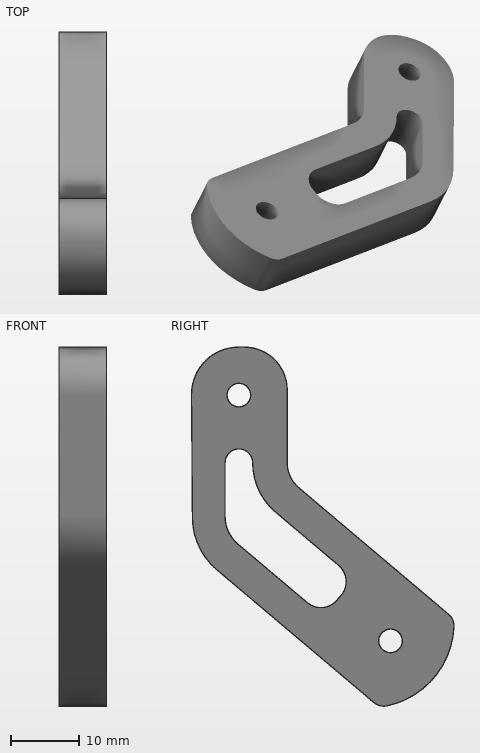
import cadquery as cq
import math

thickness = 7.0
hole_diameter = 3.45
arm_angle = math.radians(40.2)

back_side = 7.1
front_side_top = -7.0
front_side_bottom = -6.8
head_top = 7.05
head_back_radius = 6.35
head_front_radius = 6.95

pivot_y = 22.25
pivot_z = -36.1
arm_half_width = 8.5
end_radius = 12.45
end_center_inset = 4.05
end_corner_radius = 2.2
inner_bend_radius = 4.75
outer_bend_radius = 10.0

slot_top_radius = 2.0
slot_top_z = -9.9
slot_back_offset = 3.55
slot_front_offset = -3.6
slot_end_inset = 9.85
slot_end_corner_radius = 3.1
slot_back_bend_radius = 9.5
slot_front_bend_radius = 5.2


def arm_point(along, offset):
    """Point measured from the lower pivot, along the arm and square to its axis."""
    y = pivot_y + along * math.cos(arm_angle) + offset * math.sin(arm_angle)
    z = pivot_z - along * math.sin(arm_angle) + offset * math.cos(arm_angle)
    return y, z


def bend_point(y, offset):
    """Point at the given Y on a line parallel to the lower arm."""
    along = (y - pivot_y - offset * math.sin(arm_angle)) / math.cos(arm_angle)
    return arm_point(along, offset)


def round_corner(body, point, radius):
    """Round the edge through the plate at one outline corner."""
    reach = 0.05
    y, z = point
    low = (-reach, y - reach, z - reach)
    high = (thickness + reach, y + reach, z + reach)
    corner = cq.selectors.BoxSelector(low, high)
    return body.edges("|X").edges(corner).fillet(radius)


def make_plate():
    end_reach = math.sqrt(end_radius**2 - arm_half_width**2) - end_center_inset
    end_back = arm_point(end_reach, arm_half_width)
    end_front = arm_point(end_reach, -arm_half_width)
    end_tip = arm_point(end_radius - end_center_inset, 0)
    inner_bend = bend_point(back_side, arm_half_width)
    outer_bend = bend_point(front_side_bottom, -arm_half_width)
    head_back = (back_side, head_top)
    head_front = (front_side_top, head_top)
    plate = (
        cq.Workplane("YZ")
        .moveTo(*head_front)
        .lineTo(*head_back)
        .lineTo(*inner_bend)
        .lineTo(*end_back)
        .threePointArc(end_tip, end_front)
        .lineTo(*outer_bend)
        .close()
        .extrude(thickness)
    )
    corners = [
        (head_back, head_back_radius),
        (head_front, head_front_radius),
        (inner_bend, inner_bend_radius),
        (outer_bend, outer_bend_radius),
        (end_back, end_corner_radius),
        (end_front, end_corner_radius),
    ]
    for point, radius in corners:
        plate = round_corner(plate, point, radius)
    return plate


def make_slot():
    back_bend = bend_point(slot_top_radius, slot_back_offset)
    front_bend = bend_point(-slot_top_radius, slot_front_offset)
    end_back = arm_point(-slot_end_inset, slot_back_offset)
    end_front = arm_point(-slot_end_inset, slot_front_offset)
    slot = (
        cq.Workplane("YZ")
        .moveTo(-slot_top_radius, slot_top_z)
        .threePointArc((0, slot_top_z + slot_top_radius), (slot_top_radius, slot_top_z))
        .lineTo(*back_bend)
        .lineTo(*end_back)
        .lineTo(*end_front)
        .lineTo(*front_bend)
        .close()
        .extrude(thickness)
    )
    corners = [
        (back_bend, slot_back_bend_radius),
        (front_bend, slot_front_bend_radius),
        (end_back, slot_end_corner_radius),
        (end_front, slot_end_corner_radius),
    ]
    for point, radius in corners:
        slot = round_corner(slot, point, radius)
    return slot


def make_pivot_holes():
    centers = [(0, 0), (pivot_y, pivot_z)]
    return cq.Workplane("YZ").pushPoints(centers).circle(hole_diameter / 2).extrude(thickness)


result = make_plate().cut(make_slot()).cut(make_pivot_holes())